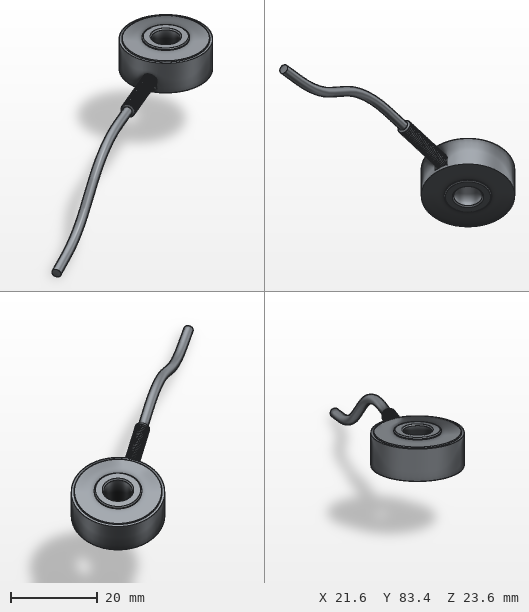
import cadquery as cq
import math

BODY_DIAMETER = 21.6
BODY_HEIGHT = 8.0
LID_BASE_DIAMETER = 20.35
LID_TOP_DIAMETER = 20.1
LID_HEIGHT = 0.25
BOSS_BASE_DIAMETER = 11.0
BOSS_TOP_DIAMETER = 10.4
BOSS_PROJECTION = 0.5
BORE_DIAMETER = 6.6
BORE_CHAMFER = 0.3

OUTLET_HEIGHT = 3.0
OUTLET_FLOOR_DROP = 2.1

SLEEVE_DIAMETER = 3.4
RIB_WIDTH = 0.5
OUTER_RIB_COUNT = 29
RECESSED_RIB_COUNT = 2

CABLE_DIAMETER = 2.25
FIRST_RUN = 6.2
MIDDLE_RUN = 7.6
LAST_RUN = 6.3
BEND_RADIUS = 26.5
STEEP_SLOPE = math.radians(38.3)
END_SLOPE = math.radians(9)

BODY_RADIUS = BODY_DIAMETER / 2
SLEEVE_RADIUS = SLEEVE_DIAMETER / 2
RIB_COUNT = OUTER_RIB_COUNT + RECESSED_RIB_COUNT
SLEEVE_START = -BODY_RADIUS + RECESSED_RIB_COUNT * RIB_WIDTH
SLEEVE_END = -BODY_RADIUS - OUTER_RIB_COUNT * RIB_WIDTH


def make_drum():
    """Revolve the drum, lid, bosses and chamfered bore about Z."""
    bore_radius = BORE_DIAMETER / 2
    bore_mouth_radius = bore_radius + BORE_CHAMFER
    lid_top = BODY_HEIGHT + LID_HEIGHT
    boss_top = lid_top + BOSS_PROJECTION
    boss_bottom = -BOSS_PROJECTION
    top_shoulder = (lid_top + boss_top) / 2
    bottom_shoulder = boss_bottom / 2
    outline = [
        (bore_radius, boss_bottom + BORE_CHAMFER),
        (bore_mouth_radius, boss_bottom),
        (BOSS_TOP_DIAMETER / 2, boss_bottom),
        (BOSS_BASE_DIAMETER / 2, bottom_shoulder),
        (BOSS_BASE_DIAMETER / 2, 0),
        (BODY_RADIUS, 0),
        (BODY_RADIUS, BODY_HEIGHT),
        (LID_BASE_DIAMETER / 2, BODY_HEIGHT),
        (LID_TOP_DIAMETER / 2, lid_top),
        (BOSS_BASE_DIAMETER / 2, lid_top),
        (BOSS_BASE_DIAMETER / 2, top_shoulder),
        (BOSS_TOP_DIAMETER / 2, boss_top),
        (bore_mouth_radius, boss_top),
        (bore_radius, boss_top - BORE_CHAMFER),
    ]
    return cq.Workplane("XZ").polyline(outline).close().revolve(360, (0, 0), (0, 1))


def make_outlet():
    """Arched recess, its round top concentric with the sleeve."""
    floor_height = OUTLET_HEIGHT - OUTLET_FLOOR_DROP
    return (
        cq.Workplane("XZ", origin=(0, SLEEVE_START, 0))
        .moveTo(-SLEEVE_RADIUS, floor_height)
        .lineTo(SLEEVE_RADIUS, floor_height)
        .lineTo(SLEEVE_RADIUS, OUTLET_HEIGHT)
        .threePointArc((0, OUTLET_HEIGHT + SLEEVE_RADIUS), (-SLEEVE_RADIUS, OUTLET_HEIGHT))
        .close()
        .extrude(BODY_RADIUS)
    )


def make_sleeve():
    """Revolve a row of half-round ribs about the cable axis."""
    valley_radius = SLEEVE_RADIUS - RIB_WIDTH / 2
    profile = cq.Workplane("XY").moveTo(0, SLEEVE_START).lineTo(valley_radius, SLEEVE_START)
    for rib in range(RIB_COUNT):
        rib_start = SLEEVE_START - rib * RIB_WIDTH
        rib_crest = (SLEEVE_RADIUS, rib_start - RIB_WIDTH / 2)
        rib_end = (valley_radius, rib_start - RIB_WIDTH)
        profile = profile.threePointArc(rib_crest, rib_end)
    sleeve = profile.lineTo(0, SLEEVE_END).close().revolve(360, (0, 0), (0, 1))
    return sleeve.translate((0, 0, OUTLET_HEIGHT))


def run_point(start, length, slope):
    """End of a straight run heading toward -Y and down at the given slope."""
    return (start[0] - length * math.cos(slope), start[1] - length * math.sin(slope))


def bend_point(start, start_slope, slope, turn):
    """Point on a bend where it reaches a slope; turn is 1 to steepen, -1 to flatten."""
    return (
        start[0] - turn * BEND_RADIUS * (math.sin(slope) - math.sin(start_slope)),
        start[1] - turn * BEND_RADIUS * (math.cos(start_slope) - math.cos(slope)),
    )


def make_cable():
    """Sweep the round cable along its straight runs and bends."""
    start = (SLEEVE_END, OUTLET_HEIGHT)
    first_end = run_point(start, FIRST_RUN, 0)
    down_middle = bend_point(first_end, 0, STEEP_SLOPE / 2, 1)
    down_end = bend_point(first_end, 0, STEEP_SLOPE, 1)
    middle_end = run_point(down_end, MIDDLE_RUN, STEEP_SLOPE)
    up_middle = bend_point(middle_end, STEEP_SLOPE, (STEEP_SLOPE + END_SLOPE) / 2, -1)
    up_end = bend_point(middle_end, STEEP_SLOPE, END_SLOPE, -1)
    tip = run_point(up_end, LAST_RUN, END_SLOPE)
    path = (
        cq.Workplane("YZ")
        .moveTo(*start)
        .lineTo(*first_end)
        .threePointArc(down_middle, down_end)
        .lineTo(*middle_end)
        .threePointArc(up_middle, up_end)
        .lineTo(*tip)
    )
    section = cq.Workplane("XZ", origin=(0, SLEEVE_END, OUTLET_HEIGHT)).circle(CABLE_DIAMETER / 2)
    return section.sweep(path)


housing = make_drum().cut(make_outlet())

cable = make_sleeve().union(make_cable(), clean=False)

result = cq.Compound.makeCompound([housing.val(), *cable.solids().vals()])